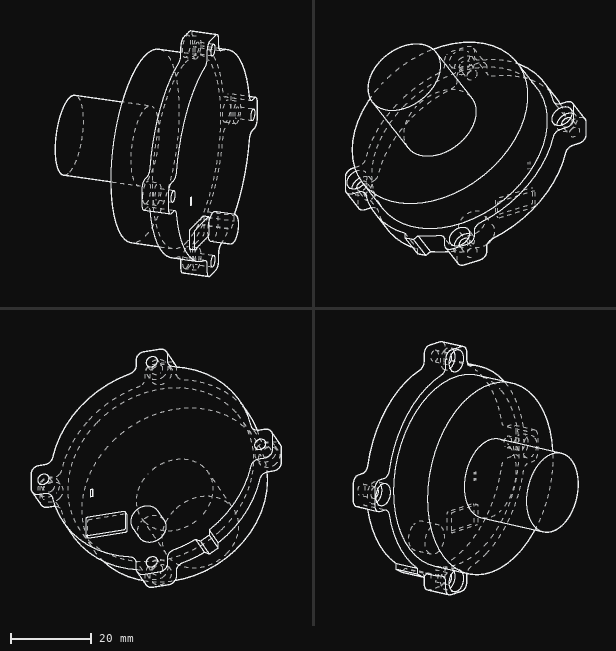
import cadquery as cq
import math

STUB_LENGTH = 20.0
HUB_LENGTH = 10.95
FLANGE_THICKNESS = 7.0
PIN_LENGTH = 5.55
HUB_FRONT = STUB_LENGTH
FLANGE_FRONT = HUB_FRONT + HUB_LENGTH
FLANGE_BACK = FLANGE_FRONT + FLANGE_THICKNESS

STUB_RADIUS = 10.0
HUB_RADIUS = 24.25
FLANGE_RADIUS = 26.5

LUG_COUNT = 4
LUG_REACH = 31.5
LUG_WIDTH = 8.2
LUG_ROUND = 2.0
SCREW_CIRCLE_RADIUS = 28.3
SCREW_HOLE_DIAMETER = 2.9
COUNTERBORE_DIAMETER = 5.6
COUNTERBORE_DEPTH = 2.8

TAB_ANGLE = 30.0
TAB_REACH = 27.7
TAB_TIP_WIDTH = 2.65
TAB_FLARE = 30.0
TAB_ROOT_RADIUS = 25.2

PIN_CENTER = (0, -18.95)
PIN_DIAMETER = 7.5
PIN_EDGE_ROUND = 0.5
PAD_CENTER = (-11.6, -16.1)
PAD_SIZE = (10.3, 5.2)
PAD_HEIGHT = 1.3
PAD_CORNER_ROUND = 0.5
BAR_CENTER = (-15.7, -6.1)
BAR_SIZE = (0.55, 2.0)
BAR_HEIGHT = 0.1


def plane_at(x):
    """Sketch plane facing +X whose local axes are Y and Z."""
    return cq.Workplane("YZ", origin=(x, 0, 0))


def make_flange():
    """Disc with four lugs, each rounded at its tip and filleted into the rim."""
    flange = plane_at(FLANGE_FRONT).circle(FLANGE_RADIUS).extrude(FLANGE_THICKNESS)
    for across in ((LUG_WIDTH, 2 * LUG_REACH), (2 * LUG_REACH, LUG_WIDTH)):
        lug_pair = plane_at(FLANGE_FRONT).rect(*across).extrude(FLANGE_THICKNESS)
        flange = flange.union(lug_pair.edges("|X").fillet(LUG_ROUND))

    rim = FLANGE_RADIUS
    inside_rim = cq.selectors.BoxSelector((FLANGE_FRONT, -rim, -rim), (FLANGE_BACK, rim, rim))
    return flange.edges("|X").edges(inside_rim).fillet(LUG_ROUND)


def make_tab():
    """Trapezoid that widens towards the rim, turned from straight down towards +Y."""
    tip = TAB_TIP_WIDTH / 2
    root = tip + (TAB_REACH - TAB_ROOT_RADIUS) * math.tan(math.radians(TAB_FLARE))
    outline = [
        (-tip, -TAB_REACH),
        (tip, -TAB_REACH),
        (root, -TAB_ROOT_RADIUS),
        (-root, -TAB_ROOT_RADIUS),
    ]
    tab = plane_at(FLANGE_FRONT).polyline(outline).close().extrude(FLANGE_THICKNESS)
    return tab.rotate((0, 0, 0), (1, 0, 0), TAB_ANGLE)


def make_screw_cylinders(diameter, depth):
    """One cylinder per lug, running back from the front of the flange."""
    centers = plane_at(FLANGE_FRONT).polarArray(SCREW_CIRCLE_RADIUS, 0, 360, LUG_COUNT)
    return centers.circle(diameter / 2).extrude(depth)


def make_pin():
    """Round pin on the back face with a rounded free edge."""
    pin = plane_at(FLANGE_BACK).center(*PIN_CENTER).circle(PIN_DIAMETER / 2).extrude(PIN_LENGTH)
    return pin.faces(">X").edges().fillet(PIN_EDGE_ROUND)


def make_pad():
    """Low rectangular pad on the back face with rounded corners."""
    pad = plane_at(FLANGE_BACK).center(*PAD_CENTER).rect(*PAD_SIZE).extrude(PAD_HEIGHT)
    return pad.edges("|X").fillet(PAD_CORNER_ROUND)


stub = plane_at(0).circle(STUB_RADIUS).extrude(STUB_LENGTH)
hub = plane_at(HUB_FRONT).circle(HUB_RADIUS).extrude(HUB_LENGTH)
bar = plane_at(FLANGE_BACK).center(*BAR_CENTER).rect(*BAR_SIZE).extrude(BAR_HEIGHT)

plate = make_flange().union(make_tab())
plate = plate.cut(make_screw_cylinders(SCREW_HOLE_DIAMETER, FLANGE_THICKNESS))
plate = plate.cut(make_screw_cylinders(COUNTERBORE_DIAMETER, COUNTERBORE_DEPTH))

result = plate.union(hub).union(stub).union(make_pin()).union(make_pad()).union(bar)